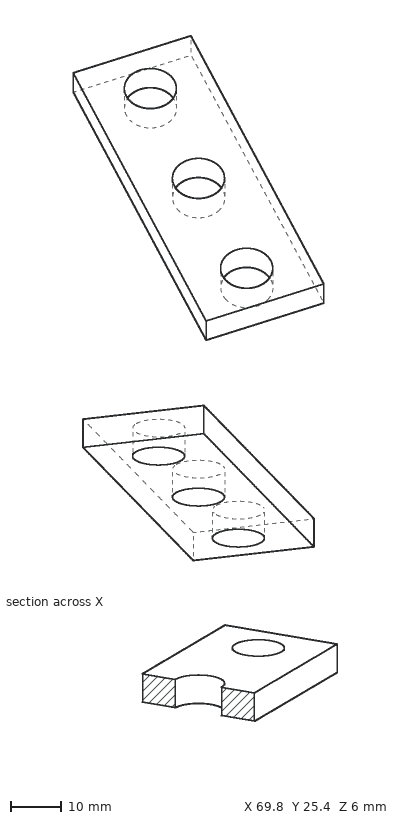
import cadquery as cq

length = 69.85
width = 25.4
thickness = 6.0

hole_diameter = 10.4
hole_count = 3
hole_spacing = 25.3

plate = cq.Workplane("XY").box(length, width, thickness)

result = (
    plate.faces(">Z")
    .workplane()
    .rarray(hole_spacing, 0.7, hole_count, 1)
    .hole(hole_diameter)
)